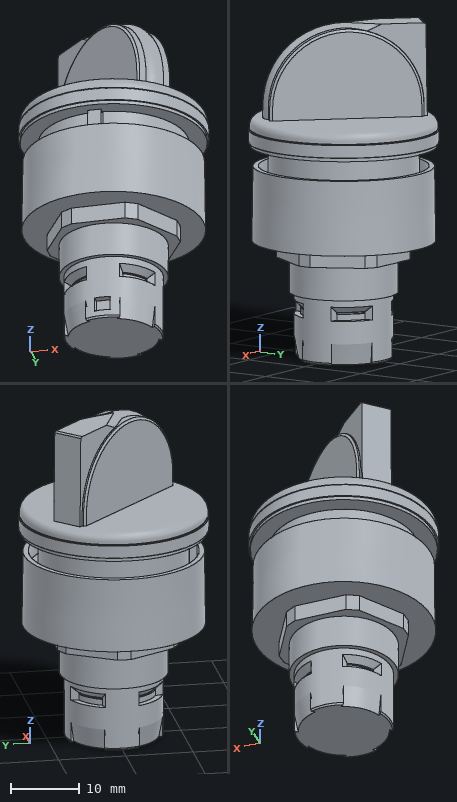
import cadquery as cq
import math

body_chamfer_height = 0.3
notch_top = 3.15
window_bottom = 6.55
window_top = 8.65
sleeve_bottom = 9.75
hex_bottom = 14.85
nut_bottom = 17.35
nut_top = 28.45
gasket_bottom = 31.45
flange_bottom = 32.0
flange_top = 33.9
bezel_bottom = 34.05
bezel_top = 35.9
knob_axis_height = 37.7
knob_top = 49.75

body_diameter = 14.6
body_chamfer_width = 0.15
sleeve_diameter = 16.0
nut_top_diameter = 26.65
nut_bottom_diameter = 26.95
nut_bore_diameter = 25.0
nut_bore_depth = 2.5
neck_diameter = 22.15
flange_diameter = 27.9
gasket_diameter = 27.4
bezel_diameter = 27.65
bezel_flat_diameter = 25.0
bezel_round_height = 1.5

hex_across_flats = 18.0
hex_across_corners = 19.65
hex_turn = -1.2

key_width = 2
key_reach = 12.25
key_top = 31.3

window_width = 6.15
window_floor_width = 4.2
window_overshoot = 0.25
window_floor_radius = 6.3
window_roof_drop = 0.95
slit_height = 0.25
slit_depth = 0.3
notch_width = 5.95
notch_bottom_radius = 6.65

pocket_width = 2.35
pocket_bottom = 1.2
pocket_height = 2.1
pocket_depth = 1.25

knob_turn = -45
pointer_half_width = 2.35
pointer_reach_bottom = 12.05
pointer_reach_top = 11.85
pointer_bevel_width = 0.35
pointer_bevel_height = 0.2
shoulder_length = 5.2
lens_radius = 11.5
lens_half_width = 2.85
lens_bevel_width = 0.25
lens_bevel_height = 0.4

body_radius = body_diameter / 2
bore_floor = nut_top - nut_bore_depth
tail_radius = knob_top - knob_axis_height
arc_middle = math.sqrt(0.5)
diagonals = [45, 135, 225, 315]


def round_stack():
    """Body, sleeve, nut, neck, gasket, flange and bezel turned as one profile."""
    bezel_radius = bezel_diameter / 2
    flat_radius = bezel_flat_diameter / 2
    flange_radius = flange_diameter / 2
    round_start = bezel_top - bezel_round_height
    round_middle = (
        flat_radius + (bezel_radius - flat_radius) * arc_middle,
        round_start + bezel_round_height * arc_middle,
    )
    return (
        cq.Workplane("XZ")
        .lineTo(body_radius - body_chamfer_width, 0)
        .lineTo(body_radius, body_chamfer_height)
        .lineTo(body_radius, sleeve_bottom)
        .lineTo(sleeve_diameter / 2, sleeve_bottom)
        .lineTo(sleeve_diameter / 2, nut_bottom)
        .lineTo(nut_bottom_diameter / 2, nut_bottom)
        .lineTo(nut_top_diameter / 2, nut_top)
        .lineTo(nut_bore_diameter / 2, nut_top)
        .lineTo(nut_bore_diameter / 2, bore_floor)
        .lineTo(neck_diameter / 2, bore_floor)
        .lineTo(neck_diameter / 2, gasket_bottom)
        .lineTo(gasket_diameter / 2, gasket_bottom)
        .lineTo(gasket_diameter / 2, flange_bottom)
        .lineTo(flange_radius, flange_bottom)
        .lineTo(flange_radius, flange_top)
        .lineTo(gasket_diameter / 2, flange_top)
        .lineTo(gasket_diameter / 2, bezel_bottom)
        .lineTo(bezel_radius, bezel_bottom)
        .lineTo(bezel_radius, round_start)
        .threePointArc(round_middle, (flat_radius, bezel_top))
        .lineTo(0, bezel_top)
        .close()
        .revolve(360, (0, 0), (0, 1))
    )


def hex_collar():
    """Hexagon whose six corners are cut flat by a second hexagon."""
    half_step = 30

    def hexagon(across_flats, turn):
        return (
            cq.Workplane("XY")
            .workplane(offset=hex_bottom)
            .polygon(6, across_flats, circumscribed=True)
            .extrude(nut_bottom - hex_bottom)
            .rotate((0, 0, 0), (0, 0, 1), turn)
        )

    return hexagon(hex_across_flats, hex_turn + half_step).intersect(hexagon(hex_across_corners, hex_turn))


def neck_key():
    """Key on the -Y side of the neck, rising from the floor of the nut bore."""
    bar = cq.Workplane("XY").box(key_width, key_reach, key_top - bore_floor, centered=(True, False, False))
    return bar.translate((0, -key_reach, bore_floor))


def window():
    """Recess on the +X side: sloping roof and ends, round floor with a slit under the roof."""
    mouth_x = math.sqrt(body_radius**2 - (window_width / 2) ** 2)
    floor_x = math.sqrt(window_floor_radius**2 - (window_floor_width / 2) ** 2)
    end_slope = (window_width - window_floor_width) / 2 / (mouth_x - floor_x)
    roof_slope = window_roof_drop / (body_radius - window_floor_radius)
    outer_radius = body_radius + window_overshoot
    outer_half_width = window_width / 2 + end_slope * (outer_radius - mouth_x)
    outer_top = window_top + roof_slope * (outer_radius - body_radius)
    slit_radius = window_floor_radius - slit_depth
    slit_top = window_top - window_roof_drop
    ring = (
        cq.Workplane("XZ")
        .moveTo(window_floor_radius, window_bottom)
        .lineTo(outer_radius, window_bottom)
        .lineTo(outer_radius, outer_top)
        .lineTo(window_floor_radius, slit_top)
        .lineTo(slit_radius, slit_top)
        .lineTo(slit_radius, slit_top - slit_height)
        .lineTo(window_floor_radius, slit_top - slit_height)
        .close()
        .revolve(360, (0, 0), (0, 1))
    )
    sector = (
        cq.Workplane("XY")
        .moveTo(0, -window_floor_width / 2)
        .lineTo(floor_x, -window_floor_width / 2)
        .lineTo(outer_radius, -outer_half_width)
        .lineTo(outer_radius, outer_half_width)
        .lineTo(floor_x, window_floor_width / 2)
        .lineTo(0, window_floor_width / 2)
        .close()
        .extrude(outer_top)
    )
    return ring.intersect(sector)


def foot_notch():
    """Flank on the +X side that leans in towards the bottom."""
    block = cq.Workplane("XY").box(2 * body_radius, notch_width, notch_top, centered=(False, True, False))
    core = cq.Workplane(cq.Solid.makeCone(notch_bottom_radius, body_radius, notch_top))
    return block.cut(core)


def square_pocket():
    bar = cq.Workplane("XY").box(pocket_width, body_radius, pocket_height, centered=(True, False, False))
    return bar.translate((0, pocket_depth - 2 * body_radius, pocket_bottom))


def pointer():
    """Flat-topped half of the knob on the -X side of the knob axis."""
    bar = (
        cq.Workplane("XZ")
        .moveTo(0, bezel_bottom)
        .lineTo(-pointer_reach_bottom, bezel_bottom)
        .lineTo(-pointer_reach_top, knob_top - pointer_bevel_height)
        .lineTo(-pointer_reach_top + pointer_bevel_width, knob_top)
        .lineTo(0, knob_top)
        .close()
        .extrude(pointer_half_width, both=True)
    )
    for side in (-1, 1):
        bar = bar.cut(shoulder(side))
    return bar


def shoulder(side):
    """Cone that blends the square edge of the pointer into the round tail."""
    edge = side * pointer_half_width
    arc_center = knob_top - pointer_half_width
    base = (
        cq.Workplane("YZ")
        .moveTo(0, knob_top)
        .threePointArc((edge * arc_middle, arc_center + pointer_half_width * arc_middle), (edge, arc_center))
        .lineTo(edge, knob_top)
        .close()
        .val()
    )
    tip = cq.Vertex.makeVertex(-shoulder_length, edge, knob_top)
    return cq.Workplane(cq.occ_impl.shapes.loft(base, tip, cap=True, ruled=True))


def half_arch(section):
    """Quarter turn of a section about the knob axis, with a leg into the bezel."""
    leg = cq.Workplane("XY").add(section).toPending().extrude(bezel_bottom - knob_axis_height)
    bow = cq.Workplane("XY").add(section).toPending().revolve(90, (0, 0), (0, -1))
    return leg.union(bow).translate((0, 0, knob_axis_height))


def tail():
    """Round-backed half of the knob on the +X side of the knob axis."""
    arc_center = tail_radius - pointer_half_width
    section = (
        cq.Workplane("XY")
        .moveTo(0, -pointer_half_width)
        .lineTo(arc_center, -pointer_half_width)
        .threePointArc((tail_radius, 0), (arc_center, pointer_half_width))
        .lineTo(0, pointer_half_width)
        .close()
        .val()
    )
    return half_arch(section)


def lens():
    """Arched plate across the knob, bevelled along both rims."""
    rim = lens_half_width - lens_bevel_width
    face_radius = lens_radius - lens_bevel_height
    section = (
        cq.Workplane("XY")
        .moveTo(0, -lens_half_width)
        .lineTo(face_radius, -lens_half_width)
        .lineTo(lens_radius, -rim)
        .lineTo(lens_radius, rim)
        .lineTo(face_radius, lens_half_width)
        .lineTo(0, lens_half_width)
        .close()
        .val()
    )
    half = half_arch(section)
    return half.union(half.mirror("YZ"))


result = round_stack().union(hex_collar()).union(neck_key())
for angle in diagonals:
    for recess in (window(), foot_notch()):
        result = result.cut(recess.rotate((0, 0, 0), (0, 0, 1), angle))
result = result.cut(square_pocket())
knob = pointer().union(tail()).union(lens())
result = result.union(knob.rotate((0, 0, 0), (0, 0, 1), knob_turn))